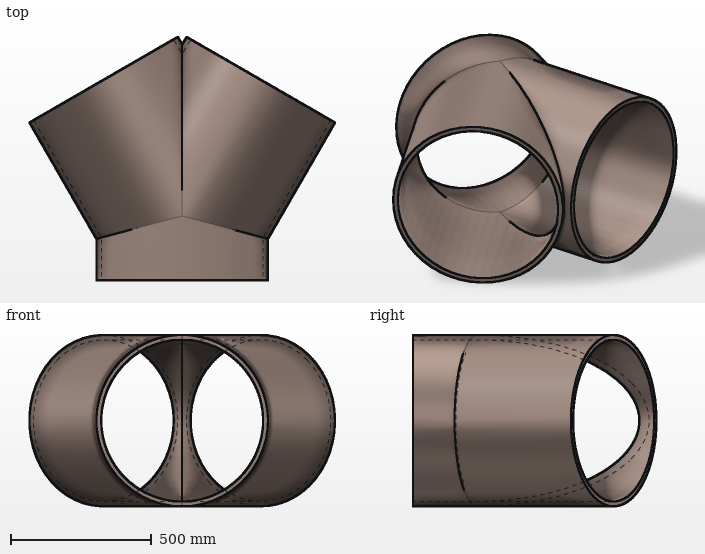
import cadquery as cq
import math

overall_width = 1087.0
outer_diameter = 610.0
inner_diameter = 575.0
inlet_length = 229.0
branch_angle = 30.0

outer_radius = outer_diameter / 2
angle = math.radians(branch_angle)
branch_length = (overall_width / 2 - outer_radius * math.cos(angle)) / math.sin(angle)
back_extension = outer_diameter
sector_reach = 3 * overall_width

mitre_drop = math.radians(branch_angle / 2)
mitre_x = sector_reach * math.cos(mitre_drop)
mitre_y = -sector_reach * math.sin(mitre_drop)


def pipe_cylinder(diameter, length, direction):
    """Cylinder ending at the given length and running back past the origin."""
    start = direction * -back_extension
    return cq.Workplane(
        obj=cq.Solid.makeCylinder(diameter / 2, length + back_extension, start, direction)
    )


def sector(points):
    """Prism over a polygon in XY, tall enough to hold the whole pipe."""
    return cq.Workplane("XY").polyline(points).close().extrude(outer_diameter, both=True)


def junction(diameter):
    """Three cylinders, each trimmed to its own sector, joined at the mitres."""
    inlet = pipe_cylinder(diameter, inlet_length, cq.Vector(0, -1, 0)).intersect(
        sector([(0, 0), (-mitre_x, mitre_y), (0, -sector_reach), (mitre_x, mitre_y)])
    )
    body = inlet
    for side in (-1, 1):
        direction = cq.Vector(side * math.sin(angle), math.cos(angle), 0)
        branch = pipe_cylinder(diameter, branch_length, direction).intersect(
            sector([(0, 0), (0, sector_reach), (side * mitre_x, sector_reach), (side * mitre_x, mitre_y)])
        )
        body = body.union(branch)
    return body


result = junction(outer_diameter).cut(junction(inner_diameter))